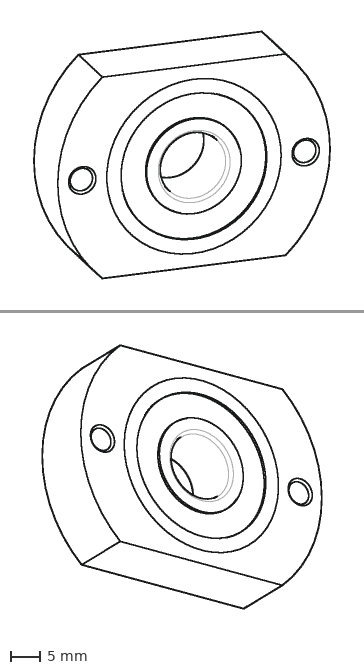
import cadquery as cq

housing_diameter = 50.0
housing_height = 37.0
width = 12.0
screw_hole_spacing = 41.0
screw_hole_diameter = 4.1
screw_hole_chamfer = 0.45

bearing_diameter = 32.0
bore_diameter = 12.0
bore_fillet = 0.6
groove_outer_diameter = 26.75
groove_inner_diameter = 17.4
groove_depth = 0.5


def disc(diameter, length, start_x=0.0):
    """Cylinder along +X that starts at start_x."""
    return cq.Workplane("YZ").workplane(offset=start_x).circle(diameter / 2).extrude(length)


def make_housing():
    flats = cq.Workplane("YZ").rect(housing_diameter, housing_height).extrude(width)
    body = disc(housing_diameter, width).intersect(flats)

    hole_places = [(-screw_hole_spacing / 2, 0), (screw_hole_spacing / 2, 0)]
    screw_holes = cq.Workplane("YZ").pushPoints(hole_places).circle(screw_hole_diameter / 2).extrude(width)
    body = body.cut(screw_holes)
    hole_rims = body.faces("<X or >X").edges(cq.selectors.RadiusNthSelector(0))
    body = hole_rims.chamfer(screw_hole_chamfer)

    return body.cut(disc(bearing_diameter, width))


def make_bearing():
    body = disc(bearing_diameter, width).cut(disc(bore_diameter, width))
    bore_rims = body.faces("<X or >X").edges(cq.selectors.RadiusNthSelector(0))
    body = bore_rims.fillet(bore_fillet)

    for start_x in (0.0, width - groove_depth):
        groove = disc(groove_outer_diameter, groove_depth, start_x).cut(
            disc(groove_inner_diameter, groove_depth, start_x)
        )
        body = body.cut(groove)
    return body


housing = make_housing()
bearing = make_bearing()
result = cq.Compound.makeCompound([housing.val(), bearing.val()])